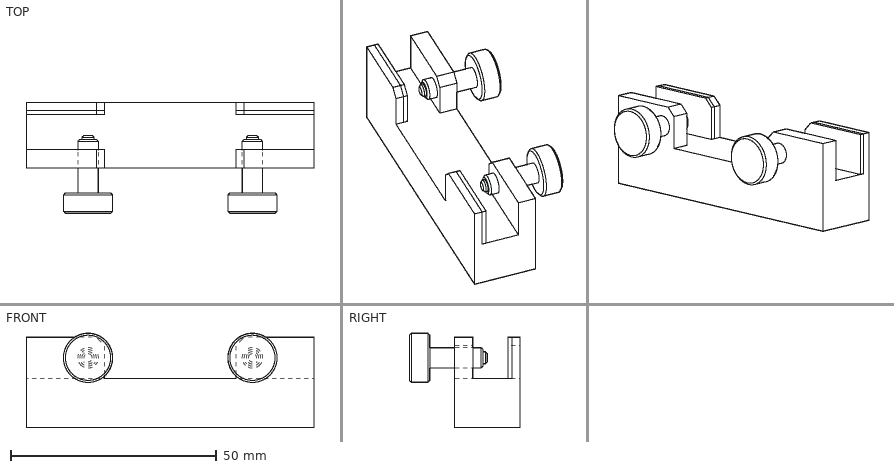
import cadquery as cq

bar_length = 70.0
bar_width = 16.0
floor_height = 12.0
wall_height = 10.0
wall_length = 19.0
front_wall_thickness = 4.5
back_wall_thickness = 2.0
wall_chamfer = 2.0
housing_height = floor_height + wall_height

pad_thickness = 1.0

screw_spacing = 40.0
screw_height = floor_height + wall_height / 2
screw_diameter = 5.0
shank_length = 13.0
head_diameter = 12.0
head_thickness = 5.0
head_clearance = 6.0
edge_chamfer = 0.5

tip_diameter = 3.0
tip_length = 1.0

screw_positions = [-screw_spacing / 2, screw_spacing / 2]
head_inner_y = -head_clearance
shank_end_y = head_inner_y + shank_length
back_wall_y = bar_width - back_wall_thickness
end_sides = [-1, 1]


def upright_plate(side, start_y, thickness):
    """Plate on the floor at one end of the bar, with its upper inboard corner chamfered."""
    outer_x = side * bar_length / 2
    inner_x = outer_x - side * wall_length
    outline = [
        (outer_x, floor_height),
        (outer_x, housing_height),
        (inner_x + side * wall_chamfer, housing_height),
        (inner_x, housing_height - wall_chamfer),
        (inner_x, floor_height),
    ]
    return (
        cq.Workplane("XZ", origin=(0, start_y, 0))
        .polyline(outline)
        .close()
        .extrude(-thickness)
    )


def cylinder_along_y(x, start_y, diameter, length):
    """Cylinder on a screw axis, running from start_y toward +Y."""
    return (
        cq.Workplane("XZ", origin=(x, start_y, screw_height))
        .circle(diameter / 2)
        .extrude(-length)
    )


def make_housing():
    """Bar with its four end walls and a through hole for each screw."""
    body = cq.Workplane("XY").box(bar_length, bar_width, floor_height, centered=(True, False, False))
    for side in end_sides:
        body = body.union(upright_plate(side, 0, front_wall_thickness))
        body = body.union(upright_plate(side, back_wall_y, back_wall_thickness))
    for x in screw_positions:
        body = body.cut(cylinder_along_y(x, 0, screw_diameter, front_wall_thickness))
    return body


def make_pad(side):
    """Thin lining against a back wall, with the same outline as the wall."""
    return upright_plate(side, back_wall_y - pad_thickness, pad_thickness)


def make_screw(x):
    """Thumb screw: a disc head chamfered on both rims and a shank chamfered at its far end."""
    head = cylinder_along_y(x, head_inner_y - head_thickness, head_diameter, head_thickness)
    head = head.edges().chamfer(edge_chamfer)
    shank = cylinder_along_y(x, head_inner_y, screw_diameter, shank_length)
    shank = shank.faces(">Y").edges().chamfer(edge_chamfer)
    return head.union(shank)


def make_tip(x):
    """Small button seated on the end of a screw, chamfered at its free end."""
    tip = cylinder_along_y(x, shank_end_y, tip_diameter, tip_length)
    return tip.faces(">Y").edges().chamfer(edge_chamfer)


housing = make_housing()
pads = [make_pad(side) for side in end_sides]
screws = [make_screw(x) for x in screw_positions]
tips = [make_tip(x) for x in screw_positions]

bodies = [housing, *pads, *screws, *tips]
result = cq.Compound.makeCompound([body.solids().val() for body in bodies])